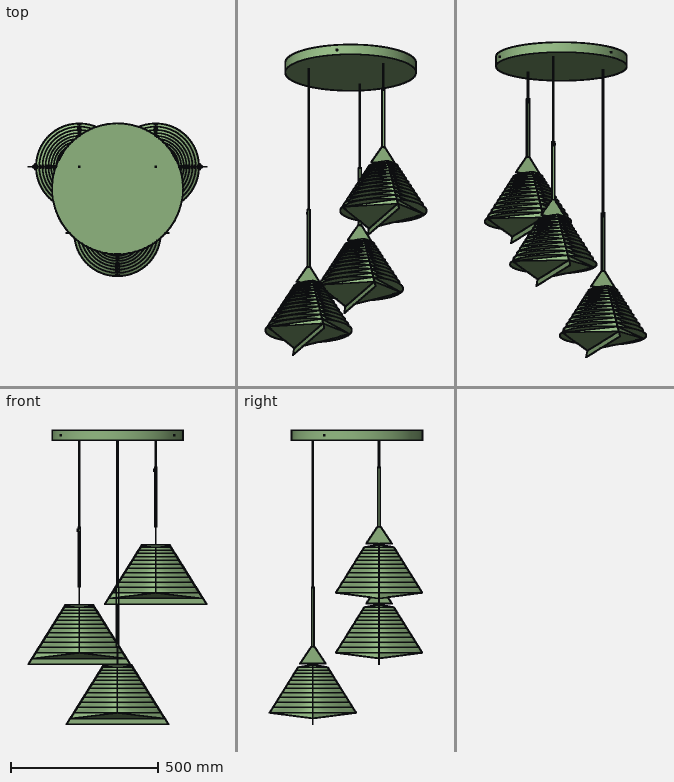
import cadquery as cq
import math

canopy_radius = 222.8
canopy_height = 35.0
screw_hole_diameter = 4.0
screw_hole_depth = 10.0
screw_hole_angles = (90, 210, 330)

pendant_circle_radius = 150.0
pendant_angles = (30, 150, 270)
lowest_point = 1000.57
height_step = 204.0
pendant_steps_up = (2, 1, 0)
reaches_canopy_top = (True, True, False)

cable_diameter = 4.0
sleeve_width_x = 7.0
sleeve_width_y = 9.0
sleeve_length = 202.0
knob_diameter = 8.0
knob_reach = 7.0
knob_drop = 10.0

sheet_thickness = 0.8
shade_height = 203.5
sheet_top_half_width = 47.0
sheet_bottom_half_width = 174.0
ring_inset = 1.9
ring_count = 12
level_count = ring_count + 2
first_gap = 9.0
gap_growth = (shade_height - level_count * first_gap) / (level_count * (level_count - 1) / 2)

crown_height = 57.0
crown_top_half_width = 6.0
crown_bottom_half_width = 44.0
neck_height = 3.5
neck_width = 4.0
sleeve_seat = neck_height + crown_height


def level_depth(level):
    """Depth below the shade's top; each gap is a little larger than the one above."""
    return level * first_gap + gap_growth * level * (level - 1) / 2


def sheet_half_width(level):
    spread = sheet_bottom_half_width - sheet_top_half_width
    return sheet_top_half_width + spread * level_depth(level) / shade_height


def ring_radius(level):
    return sheet_half_width(level) - ring_inset


def diamond(radius, z):
    """Square wire with its corners on the X and Y axes."""
    corners = [(radius, 0, z), (0, radius, z), (-radius, 0, z), (0, -radius, z)]
    return cq.Wire.makePolygon([cq.Vector(*corner) for corner in corners], close=True)


def circle(radius, z):
    return cq.Wire.makeCircle(radius, cq.Vector(0, 0, z), cq.Vector(0, 0, 1))


def circle_in_quarters(radius, z):
    """Circle split where the diamond has its corners, so both loft sections match."""
    diagonal = radius * math.sqrt(0.5)
    ring = cq.Workplane("XY", origin=(0, 0, z)).moveTo(radius, 0)
    ring = ring.threePointArc((diagonal, diagonal), (0, radius))
    ring = ring.threePointArc((-diagonal, diagonal), (-radius, 0))
    ring = ring.threePointArc((-diagonal, -diagonal), (0, -radius))
    ring = ring.threePointArc((diagonal, -diagonal), (radius, 0))
    return ring.wire().val()


def wedge(ridge_z, base_z, half_width):
    """Prism along X with a triangular section: base edges at base_z and its ridge at y = 0."""
    half_length = 2 * half_width
    section = [(-half_width, base_z), (half_width, base_z), (0, ridge_z)]
    return cq.Workplane("YZ").polyline(section).close().extrude(half_length, both=True).val()


def louver(level):
    """Ring flaring from a diamond at the level above to a circle at its own level."""
    top = diamond(ring_radius(level - 1), -level_depth(level - 1))
    bottom = circle_in_quarters(ring_radius(level), -level_depth(level))
    return cq.Solid.makeLoft([top, bottom], True)


def roof():
    """Uppermost ring, cut by two planes that fall away from a ridge along X."""
    base_z = -level_depth(1)
    cone = cq.Solid.makeLoft([circle(ring_radius(0), 0), circle(ring_radius(1), base_z)], True)
    return cone.intersect(wedge(0, base_z, ring_radius(1)))


def keel():
    """Four-sided piece below the last ring, cut by two planes that meet in a keel along X."""
    top_z = -level_depth(ring_count)
    keel_z = -level_depth(ring_count + 1)
    top = diamond(ring_radius(ring_count), top_z)
    bottom = diamond(ring_radius(ring_count + 1), keel_z)
    frustum = cq.Solid.makeLoft([top, bottom], True)
    return frustum.intersect(wedge(keel_z, top_z, ring_radius(ring_count)))


def center_sheet():
    outline = [
        (-sheet_top_half_width, 0),
        (sheet_top_half_width, 0),
        (sheet_bottom_half_width, -shade_height),
        (-sheet_bottom_half_width, -shade_height),
    ]
    return cq.Workplane("XZ").polyline(outline).close().extrude(sheet_thickness / 2, both=True)


def crown():
    outline = [
        (-crown_bottom_half_width, neck_height),
        (crown_bottom_half_width, neck_height),
        (crown_top_half_width, sleeve_seat),
        (-crown_top_half_width, sleeve_seat),
    ]
    sheet = cq.Workplane("YZ").polyline(outline).close().extrude(sheet_thickness / 2, both=True)
    neck = cq.Workplane("XY").box(sheet_thickness, neck_width, neck_height, centered=(True, True, False))
    return sheet.union(neck)


def make_shade():
    """Shade with the top of its center sheet at the origin."""
    shade = center_sheet().union(crown()).union(cq.Workplane(roof()))
    for level in range(2, ring_count + 1):
        shade = shade.union(cq.Workplane(louver(level)))
    return shade.union(cq.Workplane(keel()))


def make_sleeve():
    """Sleeve standing on the crown, with a clamping knob on its -X side."""
    sleeve = cq.Workplane("XY", origin=(0, 0, sleeve_seat)).rect(sleeve_width_x, sleeve_width_y)
    sleeve = sleeve.extrude(sleeve_length)
    knob_z = sleeve_seat + sleeve_length - knob_drop
    knob = cq.Workplane("YZ", origin=(0, 0, knob_z)).circle(knob_diameter / 2).extrude(-knob_reach)
    return sleeve.union(knob)


def make_cable(x, y, bottom_z, top_z):
    return cq.Workplane("XY", origin=(x, y, bottom_z)).circle(cable_diameter / 2).extrude(top_z - bottom_z)


def make_canopy():
    canopy = cq.Workplane("XY").circle(canopy_radius).extrude(-canopy_height)
    for angle in screw_hole_angles:
        hole = (
            cq.Workplane("YZ", origin=(canopy_radius - screw_hole_depth, 0, -canopy_height / 2))
            .circle(screw_hole_diameter / 2)
            .extrude(2 * screw_hole_depth)
            .rotate((0, 0, 0), (0, 0, 1), angle)
        )
        canopy = canopy.cut(hole)
    return canopy


canopy = make_canopy()
shade_pattern = make_shade()
sleeve_pattern = make_sleeve()
shades = []
sleeves = []
cables = []
for angle, steps_up, through in zip(pendant_angles, pendant_steps_up, reaches_canopy_top):
    x = pendant_circle_radius * math.cos(math.radians(angle))
    y = pendant_circle_radius * math.sin(math.radians(angle))
    shade_top = -lowest_point + shade_height + steps_up * height_step
    place = (x, y, shade_top)
    shades.append(shade_pattern.translate(place).val())
    sleeves.append(sleeve_pattern.translate(place).val())
    cable_top = 0 if through else -canopy_height
    cable = make_cable(x, y, shade_top + sleeve_seat + sleeve_length, cable_top)
    canopy = canopy.cut(cable)
    cables.append(cable.val())

result = cq.Compound.makeCompound([canopy.val(), *cables, *sleeves, *shades])